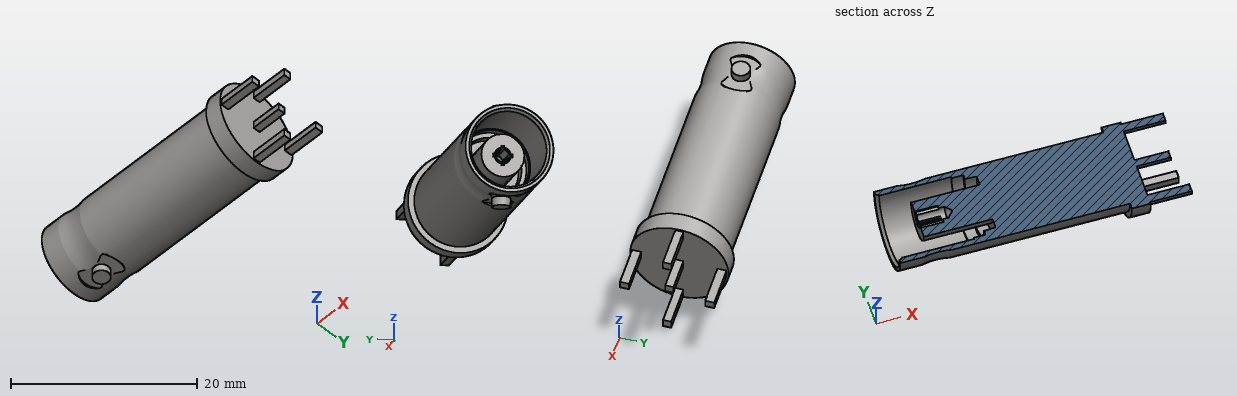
import cadquery as cq

total_length = 32.65
flange_diameter = 11.0
flange_front = 25.8
flange_back = 27.95
body_radius = 4.83

mouth_radius = 4.45
mouth_chamfer_end = 0.4
socket_radius = 4.15
socket_depth = 8.5
step_radius = 3.98
step_depth = 9.8
inner_bore_radius = 3.45
inner_bore_end_radius = 3.4
inner_bore_depth = 11.1

nose_radius = 2.35
nose_front = 3.4
contact_hole_radius = 0.72
contact_mouth_radius = 0.88
contact_mouth_depth = 0.15
contact_hole_depth = 3.25
contact_cone_length = 0.65
slot_width = 0.33
slot_reach = 1.08
slot_depth = 2.6

waist_start = 2.58
waist_end = 5.8
waist_depth = 0.15
waist_center = (waist_start + waist_end) / 2
stud_center = 4.25
stud_radius = 1.0
flat_radius = 2.5
flat_height = 4.55

leg_width = 0.9
leg_thickness = 1.0
leg_offset = 4.75
center_leg_length = 3.82

flange_radius = flange_diameter / 2
leg_length = total_length - flange_back


def make_shell():
    """Revolve the body, flange, socket bore and insulator nose."""
    profile = (
        cq.Workplane("XY")
        .moveTo(0, mouth_radius)
        .lineTo(0, body_radius)
        .lineTo(waist_start, body_radius)
        .threePointArc((waist_center, body_radius - waist_depth), (waist_end, body_radius))
        .lineTo(flange_front, body_radius)
        .lineTo(flange_front, flange_radius)
        .lineTo(flange_back, flange_radius)
        .lineTo(flange_back, 0)
        .lineTo(nose_front, 0)
        .lineTo(nose_front, nose_radius)
        .lineTo(inner_bore_depth, nose_radius)
        .lineTo(inner_bore_depth, inner_bore_end_radius)
        .lineTo(step_depth, inner_bore_radius)
        .lineTo(step_depth, step_radius)
        .lineTo(socket_depth, step_radius)
        .lineTo(socket_depth, socket_radius)
        .lineTo(mouth_chamfer_end, socket_radius)
        .close()
    )
    return profile.revolve(360, (0, 0, 0), (1, 0, 0))


def make_contact_hole():
    """Revolve the counterbored, cone-ended contact hole and add its four slots."""
    hole_end = nose_front + contact_hole_depth
    mouth_end = nose_front + contact_mouth_depth
    hole = (
        cq.Workplane("XY")
        .moveTo(nose_front, 0)
        .lineTo(nose_front, contact_mouth_radius)
        .lineTo(mouth_end, contact_mouth_radius)
        .lineTo(mouth_end, contact_hole_radius)
        .lineTo(hole_end, contact_hole_radius)
        .lineTo(hole_end + contact_cone_length, 0)
        .close()
        .revolve(360, (0, 0, 0), (1, 0, 0))
    )
    slot_face = cq.Workplane("YZ", origin=(nose_front, 0, 0))
    for size in ((2 * slot_reach, slot_width), (slot_width, 2 * slot_reach)):
        hole = hole.union(slot_face.rect(*size).extrude(slot_depth))
    return hole


def stud_cylinder(radius, bottom, top):
    """Return an upright cylinder on the stud axis."""
    return cq.Workplane("XY", origin=(stud_center, 0, bottom)).circle(radius).extrude(top - bottom)


def make_legs():
    """Return four rectangular legs around the rim and one shorter square center leg."""
    back_face = cq.Workplane("YZ", origin=(flange_back, 0, 0))
    legs = back_face.rect(leg_width, leg_width).extrude(center_leg_length)
    for angle in (0, 90, 180, 270):
        leg = back_face.center(leg_offset, 0).rect(leg_thickness, leg_width).extrude(leg_length)
        legs = legs.union(leg.rotate((0, 0, 0), (1, 0, 0), angle))
    return legs


result = make_shell().cut(make_contact_hole())

for side in (1, -1):
    flat = stud_cylinder(flat_radius, side * flat_height, side * flange_radius)
    stud = stud_cylinder(stud_radius, side * (socket_radius + flat_height) / 2, side * flange_radius)
    result = result.cut(flat).union(stud)

result = result.union(make_legs())